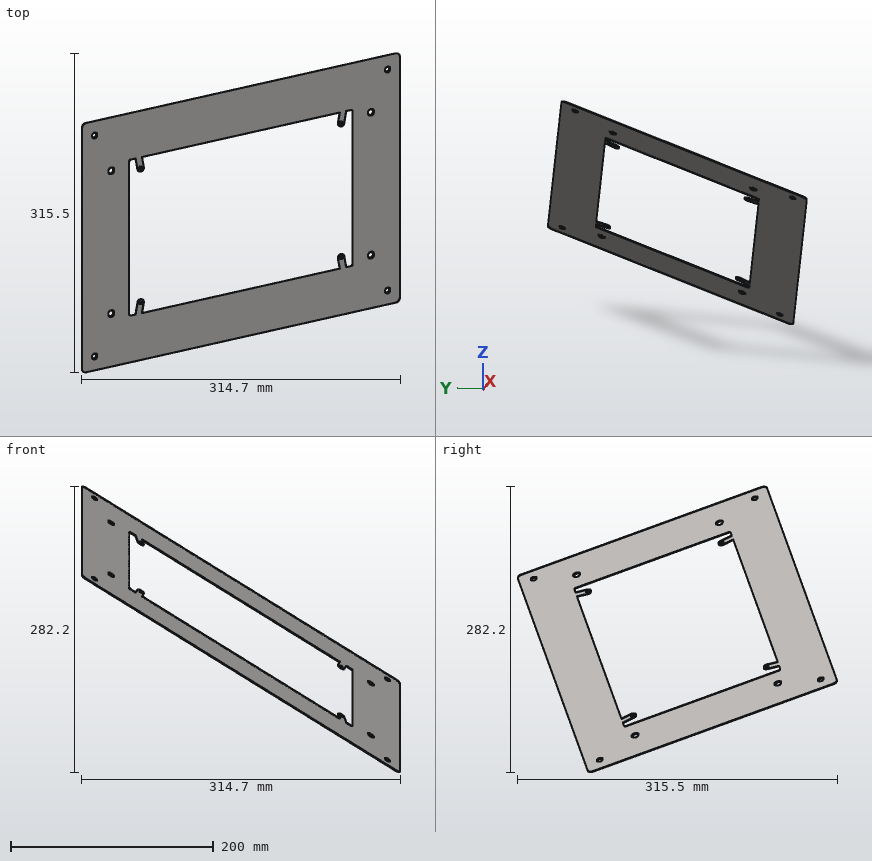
import cadquery as cq
import math

PLATE_LENGTH = 376.0
PLATE_WIDTH = 262.0
PLATE_THICKNESS = 1.0
PLATE_CORNER_RADIUS = 5.0

WINDOW_LENGTH = 264.0
WINDOW_WIDTH = 164.0
WINDOW_CORNER_RADIUS = 2.0

COUNTERSINK_ANGLE = 90.0

CORNER_HOLE_INSET = 14.9
CORNER_HOLE_DIAMETER = 4.5

SIDE_HOLE_SPACING_LENGTH = 307.0
SIDE_HOLE_SPACING_WIDTH = 150.0
SIDE_HOLE_DIAMETER = 5.5

TAB_HOLE_SPACING_LENGTH = 237.0
TAB_HOLE_SPACING_WIDTH = 141.6
TAB_HOLE_DIAMETER = 3.2
TAB_WIDTH = 7.5
TAB_LEAN_ANGLE = 11.0
TAB_ROOT_OVERLAP = 3.0

TURN_ABOUT_Y = 33.345
TURN_ABOUT_X = 20.0

ORIGIN = (0, 0, 0)
X_AXIS = (1, 0, 0)
Y_AXIS = (0, 1, 0)
Z_AXIS = (0, 0, 1)


def rounded_slab(length, width, corner_radius):
    """Flat slab of plate thickness, centred on the origin."""
    slab = cq.Workplane("XY").box(length, width, PLATE_THICKNESS)
    return slab.edges("|Z").fillet(corner_radius)


def lower_face_plane():
    """Workplane on the underside of the flat plate."""
    return cq.Workplane("XY", origin=(0, 0, -PLATE_THICKNESS / 2))


def hole_cutters(spacing_length, spacing_width, diameter, taper=0):
    """Four hole cutters at the corners of a centred rectangle, narrowest at the lower face."""
    return (
        lower_face_plane()
        .rect(spacing_length, spacing_width, forConstruction=True)
        .vertices()
        .circle(diameter / 2)
        .extrude(PLATE_THICKNESS, taper=taper)
    )


def tab(side_x, side_y):
    """Leaning tab in the window corner given by the signs of X and Y."""
    tip_x = TAB_HOLE_SPACING_LENGTH / 2
    tip_y = TAB_HOLE_SPACING_WIDTH / 2
    lean_cosine = math.cos(math.radians(TAB_LEAN_ANGLE))
    reach = (WINDOW_WIDTH / 2 - tip_y) / lean_cosine + TAB_ROOT_OVERLAP
    bar = lower_face_plane().center(0, reach / 2).rect(TAB_WIDTH, reach).extrude(PLATE_THICKNESS)
    round_end = lower_face_plane().circle(TAB_WIDTH / 2).extrude(PLATE_THICKNESS)
    blank = bar.union(round_end).rotate(ORIGIN, Z_AXIS, -TAB_LEAN_ANGLE).translate((tip_x, tip_y, 0))
    if side_x < 0:
        blank = blank.mirror("YZ")
    if side_y < 0:
        blank = blank.mirror("XZ")
    return blank


def framed_window():
    """Plate with its window and the four tabs."""
    frame = rounded_slab(PLATE_LENGTH, PLATE_WIDTH, PLATE_CORNER_RADIUS)
    frame = frame.cut(rounded_slab(WINDOW_LENGTH, WINDOW_WIDTH, WINDOW_CORNER_RADIUS))
    for side_x in (-1, 1):
        for side_y in (-1, 1):
            frame = frame.union(tab(side_x, side_y))
    return frame.clean()


def cut_holes(frame):
    """Frame with its corner, side and tab holes cut."""
    countersink_taper = -COUNTERSINK_ANGLE / 2
    corner_spacing_length = PLATE_LENGTH - 2 * CORNER_HOLE_INSET
    corner_spacing_width = PLATE_WIDTH - 2 * CORNER_HOLE_INSET
    corner_holes = hole_cutters(
        corner_spacing_length, corner_spacing_width, CORNER_HOLE_DIAMETER, countersink_taper
    )
    side_holes = hole_cutters(
        SIDE_HOLE_SPACING_LENGTH, SIDE_HOLE_SPACING_WIDTH, SIDE_HOLE_DIAMETER, countersink_taper
    )
    tab_holes = hole_cutters(TAB_HOLE_SPACING_LENGTH, TAB_HOLE_SPACING_WIDTH, TAB_HOLE_DIAMETER)
    return frame.cut(corner_holes).cut(side_holes).cut(tab_holes)


flat_frame = cut_holes(framed_window())
result = flat_frame.rotate(ORIGIN, Y_AXIS, TURN_ABOUT_Y).rotate(ORIGIN, X_AXIS, TURN_ABOUT_X)